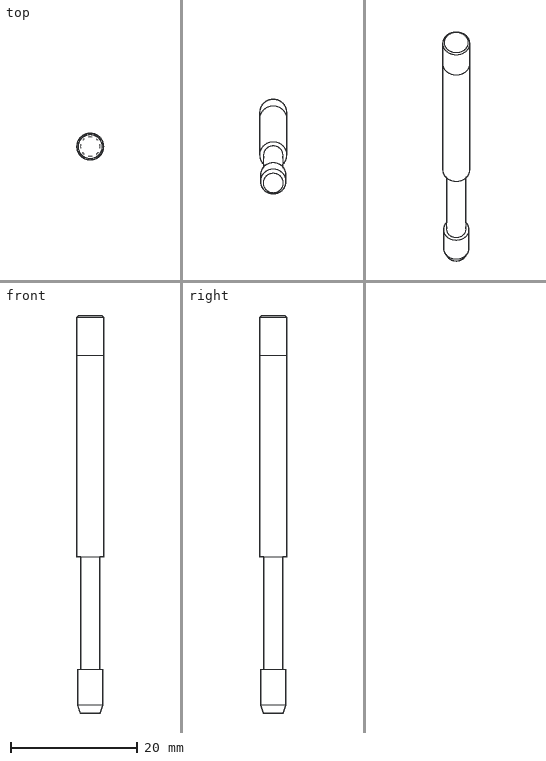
import cadquery as cq

total_length = 63.0

grip_diameter = 4.3
grip_and_cap_length = 38.2
cap_length = 6.3
cap_chamfer = 0.25

rod_diameter = 3.0
head_diameter = 4.05
head_length = 7.0
taper_length = 1.3
tip_diameter = 3.15

grip_bottom = total_length - grip_and_cap_length
cap_bottom = total_length - cap_length
grip_radius = grip_diameter / 2
rod_radius = rod_diameter / 2
head_radius = head_diameter / 2


def make_shaft():
    """Tapered head, rod and grip, revolved about the Z axis as one solid."""
    profile = [
        (0, 0),
        (tip_diameter / 2, 0),
        (head_radius, taper_length),
        (head_radius, head_length),
        (rod_radius, head_length),
        (rod_radius, grip_bottom),
        (grip_radius, grip_bottom),
        (grip_radius, cap_bottom),
        (0, cap_bottom),
    ]
    return cq.Workplane("XZ").polyline(profile).close().revolve(360, (0, 0, 0), (0, 1, 0))


def make_cap():
    """Solid end cap with a chamfered top rim, resting on the grip."""
    return (
        cq.Workplane("XY")
        .workplane(offset=cap_bottom)
        .circle(grip_radius)
        .extrude(cap_length)
        .faces(">Z")
        .chamfer(cap_chamfer)
    )


shaft = make_shaft()
cap = make_cap()

result = cq.Compound.makeCompound([shaft.val(), cap.val()])